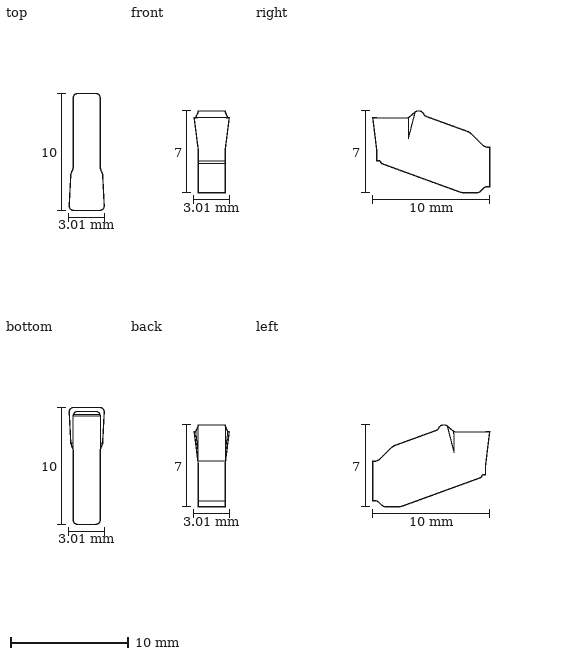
import cadquery as cq
import math

LENGTH = 10.0
HEIGHT = 7.0
BODY_WIDTH = 2.32
CORNER_RADIUS = 0.4
RAMP_SLOPE = math.tan(math.radians(20))

EDGE_Z = 6.44
RAKE_Z = 6.41
LIP_LENGTH = 0.42
FRONT_Y = 0.35
FRONT_TOP_Z = 3.57
FRONT_BOTTOM_Z = 2.74
STEP_Y = 0.61
STEP_CHAMFER_Y = 0.15
STEP_CHAMFER_Z = 0.24

BREAKER_FOOT_Y = 3.03
CREST_FRONT_Y = 3.74
CREST_BACK_Y = 4.2
HUMP_BACK_Y = 4.46
HUMP_BACK_Z = 6.58
HUMP_BACK_RADIUS = 0.4
CREST_FRONT_RADIUS = 0.3
BREAKER_FOOT_RADIUS = 0.2

REAR_TOP_Z = 3.9
REAR_BOTTOM_Z = 0.51
REAR_TOP_Y = 9.57
REAR_BOTTOM_Y = 9.59
REAR_TOP_RADIUS = 0.8
REAR_BOTTOM_RADIUS = 0.3
SHOULDER_RADIUS = 1.0
BASE_FRONT_RADIUS = 1.2
BASE_BACK_RADIUS = 0.6

FLARE_Y = 3.05
FLARE_Z = 4.66
FLARE_SIDE_ANGLE = 180 + 23.4
FLARE_BACK_ANGLE = 180 + 75.6
FLARE_SIDE_TAPER = 0.13
FLARE_BACK_TAPER = 0.51


def rounded_profile(corners):
    """Closed YZ wire through (y, z, radius) corners; zero radius stays sharp."""
    path = cq.Workplane("YZ")
    started = False
    for i, (y, z, radius) in enumerate(corners):
        corner = cq.Vector(y, z)
        before = (cq.Vector(*corners[i - 1][:2]) - corner).normalized()
        after = (cq.Vector(*corners[(i + 1) % len(corners)][:2]) - corner).normalized()
        half_angle = before.getAngle(after) / 2
        tangent = radius / math.tan(half_angle)
        start = corner + before * tangent
        path = path.lineTo(start.x, start.y) if started else path.moveTo(start.x, start.y)
        started = True
        if radius:
            end = corner + after * tangent
            bisector = (before + after).normalized()
            middle = corner + bisector * (radius / math.sin(half_angle) - radius)
            path = path.threePointArc((middle.x, middle.y), (end.x, end.y))
    return path.close()


def side_profile():
    step_back_y = STEP_Y + STEP_CHAMFER_Y
    step_bottom_z = FRONT_BOTTOM_Z - STEP_CHAMFER_Z
    base_front_y = step_back_y + step_bottom_z / RAMP_SLOPE
    base_back_y = REAR_BOTTOM_Y - REAR_BOTTOM_Z
    slope_sum = REAR_TOP_Y + REAR_TOP_Z
    shoulder_y = (slope_sum - HUMP_BACK_Z - RAMP_SLOPE * HUMP_BACK_Y) / (1 - RAMP_SLOPE)
    shoulder_z = slope_sum - shoulder_y
    return rounded_profile([
        (0, EDGE_Z, 0),
        (FRONT_Y, FRONT_TOP_Z, 0),
        (FRONT_Y, FRONT_BOTTOM_Z, 0),
        (STEP_Y, FRONT_BOTTOM_Z, 0),
        (step_back_y, step_bottom_z, 0),
        (base_front_y, 0, BASE_FRONT_RADIUS),
        (base_back_y, 0, BASE_BACK_RADIUS),
        (REAR_BOTTOM_Y, REAR_BOTTOM_Z, REAR_BOTTOM_RADIUS),
        (LENGTH, REAR_BOTTOM_Z, 0),
        (LENGTH, REAR_TOP_Z, 0),
        (REAR_TOP_Y, REAR_TOP_Z, REAR_TOP_RADIUS),
        (shoulder_y, shoulder_z, SHOULDER_RADIUS),
        (HUMP_BACK_Y, HUMP_BACK_Z, HUMP_BACK_RADIUS),
        (CREST_BACK_Y, HEIGHT, HUMP_BACK_RADIUS),
        (CREST_FRONT_Y, HEIGHT, CREST_FRONT_RADIUS),
        (BREAKER_FOOT_Y, RAKE_Z, BREAKER_FOOT_RADIUS),
        (LIP_LENGTH, RAKE_Z, 0),
    ])


def body_block():
    """Upright block with rounded front and rear corners."""
    return (
        cq.Workplane("XY")
        .box(BODY_WIDTH, LENGTH - FRONT_Y, HEIGHT, centered=(True, False, False))
        .translate((0, FRONT_Y, 0))
        .edges("|Z")
        .fillet(CORNER_RADIUS)
    )


def tapered_prism(taper, angle):
    """Prism along a tilted line through the flare point: body width there, wider ahead of or above it."""
    tilt = math.radians(angle)
    plane = cq.Plane(
        origin=(0, FLARE_Y, FLARE_Z),
        xDir=(1, 0, 0),
        normal=(0, math.cos(tilt), math.sin(tilt)),
    )
    half_width = BODY_WIDTH / 2
    narrow_half = half_width / 10
    narrow_reach = (half_width - narrow_half) / taper
    wide_half = half_width + taper * LENGTH
    return (
        cq.Workplane(plane)
        .polyline([
            (-narrow_half, -narrow_reach),
            (narrow_half, -narrow_reach),
            (wide_half, LENGTH),
            (-wide_half, LENGTH),
        ])
        .close()
        .extrude(LENGTH, both=True)
    )


def head_block():
    """Flared head with a leaning front face and rounded front corners."""
    lean = FRONT_Y / (EDGE_Z - FRONT_TOP_Z)
    front_low_y = EDGE_Z * lean
    front_high_y = (EDGE_Z - HEIGHT) * lean
    front = (
        cq.Workplane("YZ")
        .polyline([(front_low_y, 0), (LENGTH / 2, 0), (LENGTH / 2, HEIGHT), (front_high_y, HEIGHT)])
        .close()
        .extrude(LENGTH, both=True)
    )
    head = front.intersect(tapered_prism(FLARE_SIDE_TAPER, FLARE_SIDE_ANGLE))
    rounded = head.faces("<Y").edges("not |X").fillet(CORNER_RADIUS)
    return rounded.intersect(tapered_prism(FLARE_BACK_TAPER, FLARE_BACK_ANGLE))


profile = side_profile().extrude(BODY_WIDTH, both=True)
result = body_block().union(head_block()).intersect(profile)